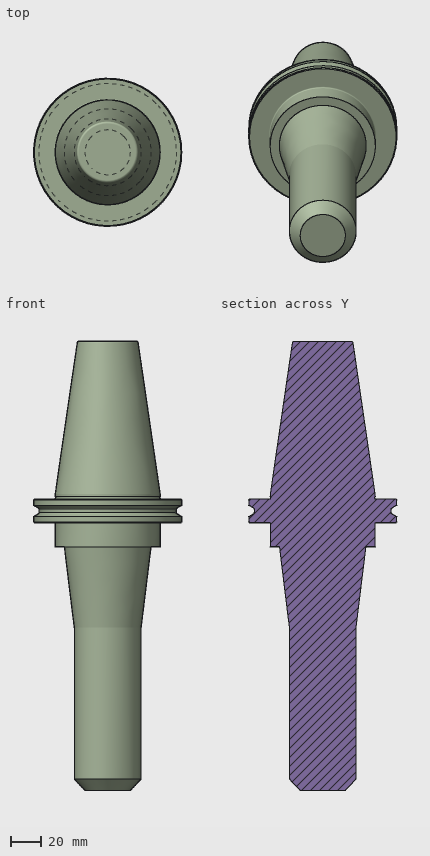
import cadquery as cq
import math


gage_diameter = 69.85
taper_length = 101.6
taper_ratio = 7 / 24
tip_fillet = 1.5

relief_start_depth = 1.6
relief_diameter = 68.6

flange_diameter = 98.42
flange_gap = 3.18
flange_thickness = 15.87
flange_edge_chamfer = 0.6
flange_root_fillet = 0.8
groove_diameter = 91.29
groove_center_depth = 11.2
groove_mouth_width = 7.4
groove_wall_angle = 30
groove_root_fillet = 0.8

collar_diameter = gage_diameter
collar_end_depth = 35.05
cone_half_angle = 7
shank_diameter = 44.45
shank_start_depth = 88.9
nose_depth = 196.85
nose_chamfer_height = 7.6
nose_end_diameter = 30.0

tip_diameter = gage_diameter - taper_length * taper_ratio
flange_top = -flange_gap
flange_bottom = flange_top - flange_thickness
groove_center = -groove_center_depth
groove_depth = (flange_diameter - groove_diameter) / 2
groove_half_mouth = groove_mouth_width / 2
groove_half_root = groove_half_mouth - groove_depth * math.tan(math.radians(groove_wall_angle))
cone_length = shank_start_depth - collar_end_depth
cone_large_diameter = shank_diameter + 2 * cone_length * math.tan(math.radians(cone_half_angle))


def revolve_profile(diameter_height_pairs):
    """Solid of revolution about Z from (diameter, height) points listed from top to bottom."""
    outline = [(diameter / 2, height) for diameter, height in diameter_height_pairs]
    top_center = (0, outline[0][1])
    bottom_center = (0, outline[-1][1])
    profile = cq.Workplane("XZ").polyline([top_center] + outline + [bottom_center]).close()
    return profile.revolve(360, (0, 0, 0), (0, 1, 0))


def circles_at(body, diameter, heights):
    """Circular edges of the body with the given diameter lying at any of the given heights."""
    tolerance = 1e-4

    def matches(edge):
        same_size = edge.geomType() == "CIRCLE" and abs(edge.radius() - diameter / 2) < tolerance
        return same_size and any(abs(edge.Center().z - height) < tolerance for height in heights)

    return body.newObject([edge for edge in body.edges().vals() if matches(edge)])


def make_taper():
    taper = revolve_profile([
        (tip_diameter, taper_length),
        (gage_diameter, 0),
        (gage_diameter, -relief_start_depth),
        (relief_diameter, flange_top),
    ])
    return taper.faces(">Z").edges().fillet(tip_fillet)


def make_flange():
    edge_diameter = flange_diameter - 2 * flange_edge_chamfer
    root_heights = [groove_center + groove_half_root, groove_center - groove_half_root]
    flange = revolve_profile([
        (edge_diameter, flange_top),
        (flange_diameter, flange_top - flange_edge_chamfer),
        (flange_diameter, groove_center + groove_half_mouth),
        (groove_diameter, root_heights[0]),
        (groove_diameter, root_heights[1]),
        (flange_diameter, groove_center - groove_half_mouth),
        (flange_diameter, flange_bottom + flange_edge_chamfer),
        (edge_diameter, flange_bottom),
    ])
    return circles_at(flange, groove_diameter, root_heights).fillet(groove_root_fillet)


def make_nose():
    return revolve_profile([
        (collar_diameter, flange_bottom),
        (collar_diameter, -collar_end_depth),
        (cone_large_diameter, -collar_end_depth),
        (shank_diameter, -shank_start_depth),
        (shank_diameter, -nose_depth + nose_chamfer_height),
        (nose_end_diameter, -nose_depth),
    ])


def fillet_flange_roots(body):
    """Blend the flange faces into the relief above and the collar below."""
    body = circles_at(body, relief_diameter, [flange_top]).fillet(flange_root_fillet)
    return circles_at(body, collar_diameter, [flange_bottom]).fillet(flange_root_fillet)


result = fillet_flange_roots(make_taper().union(make_flange()).union(make_nose()))